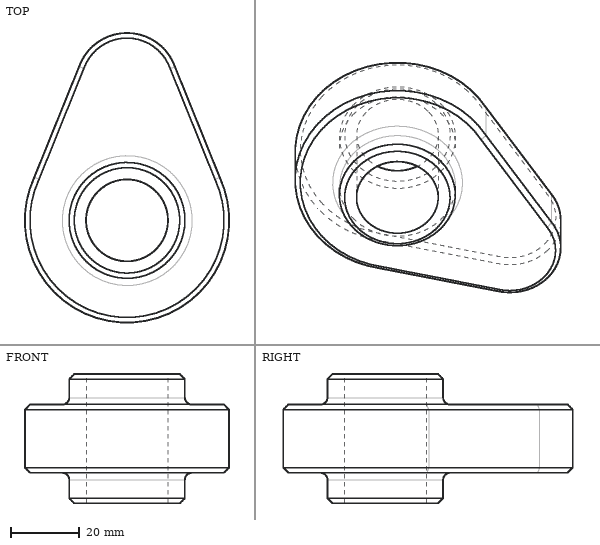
import cadquery as cq
import math

big_radius = 30.0
total_length = 85
small_radius = 15.0
big_arc_end_angle = 25
small_arc_end_angle = 20
plate_thickness = 20.1
hub_diameter = 34
hub_height = 38.0
bore_diameter = 24.0
edge_chamfer = 1.5
fillet_radius = 2.0

nose_offset = total_length - big_radius - small_radius


def flank_end(radius, center_y, angle):
    """Point on the +X side where an arc meets the flank, at an angle in degrees above the X direction."""
    return (
        radius * math.cos(math.radians(angle)),
        center_y + radius * math.sin(math.radians(angle)),
    )


def make_plate():
    """Teardrop plate, chamfered on both faces."""
    big_x, big_y = flank_end(big_radius, 0, big_arc_end_angle)
    small_x, small_y = flank_end(small_radius, nose_offset, small_arc_end_angle)
    return (
        cq.Workplane("XY")
        .workplane(offset=-plate_thickness / 2)
        .moveTo(big_x, big_y)
        .lineTo(small_x, small_y)
        .threePointArc((0, nose_offset + small_radius), (-small_x, small_y))
        .lineTo(-big_x, big_y)
        .threePointArc((0, -big_radius), (big_x, big_y))
        .close()
        .extrude(plate_thickness)
        .faces("|Z")
        .edges()
        .chamfer(edge_chamfer)
    )


def make_hub():
    """Cylinder standing out of both plate faces, chamfered at its ends."""
    return (
        cq.Workplane("XY")
        .circle(hub_diameter / 2)
        .extrude(hub_height / 2, both=True)
        .faces("|Z")
        .edges()
        .chamfer(edge_chamfer)
    )


def make_root_fillet():
    """Concave ring joining the upper plate face to the hub."""
    hub_radius = hub_diameter / 2
    face_z = plate_thickness / 2
    sag = fillet_radius * (1 - math.sqrt(0.5))
    return (
        cq.Workplane("XZ")
        .moveTo(hub_radius, face_z)
        .lineTo(hub_radius + fillet_radius, face_z)
        .threePointArc((hub_radius + sag, face_z + sag), (hub_radius, face_z + fillet_radius))
        .close()
        .revolve(360, (0, 0, 0), (0, 1, 0))
    )


root_fillet = make_root_fillet()
body = make_plate().union(make_hub()).union(root_fillet).union(root_fillet.mirror("XY"))
bore = cq.Workplane("XY").circle(bore_diameter / 2).extrude(hub_height, both=True)
result = body.cut(bore)